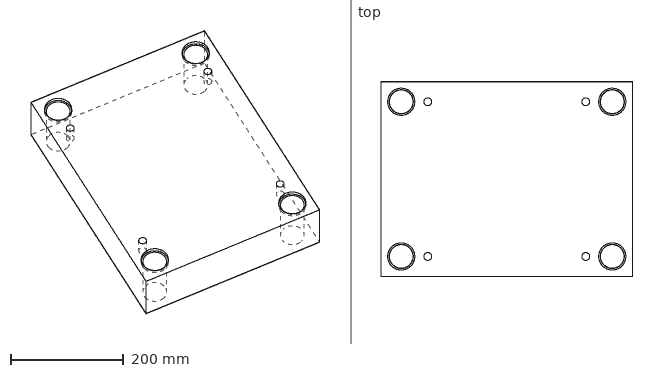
import cadquery as cq
import math

length = 445.5
width = 346.0
height = 96.0

bore_diameter = 42.0
counterbore_diameter = 48.0
counterbore_depth = 6.2
bore_spacing_x = 374.0
bore_spacing_y = 274.0

drill_diameter = 14.0
drill_depth = 30.0
drill_point_angle = 118.0
drill_spacing_x = 280.0


def corner_points(plate, spacing_x):
    """Four symmetric hole centres on the top face."""
    top = plate.faces(">Z").workplane(origin=(0, 0, height))
    return top.rect(spacing_x, bore_spacing_y, forConstruction=True).vertices()


def cut_bores(plate):
    return corner_points(plate, bore_spacing_x).cboreHole(
        bore_diameter, counterbore_diameter, counterbore_depth
    )


def cut_drilled_holes(plate):
    """Cut the straight holes and their conical drill points."""
    plate = corner_points(plate, drill_spacing_x).hole(drill_diameter, drill_depth)
    radius = drill_diameter / 2
    point_depth = radius / math.tan(math.radians(drill_point_angle / 2))
    point = cq.Solid.makeCone(
        radius, 0, point_depth, pnt=cq.Vector(0, 0, height - drill_depth), dir=cq.Vector(0, 0, -1)
    )
    points = (
        cq.Workplane("XY")
        .rect(drill_spacing_x, bore_spacing_y, forConstruction=True)
        .vertices()
        .eachpoint(lambda location: point.moved(location))
    )
    return plate.cut(points)


plate = cq.Workplane("XY").box(length, width, height, centered=(True, True, False))
result = cut_drilled_holes(cut_bores(plate))